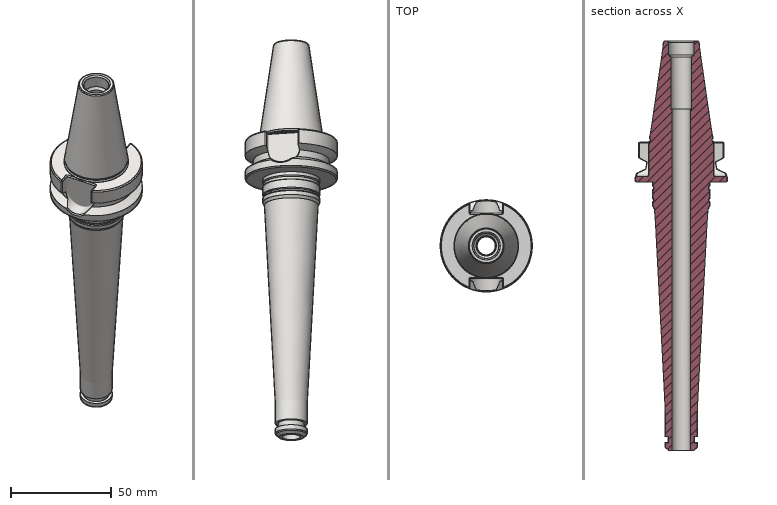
import cadquery as cq
import math

TAPER_TOP_Z = 48.4
FLANGE_TOP_Z = -2.0
FLANGE_BOTTOM_Z = -22.0
NOSE_END_Z = -156.0

GAUGE_DIAMETER = 31.75
TAPER_RATIO = 7 / 24
TAPER_RIM_CHAMFER = 0.5
NECK_DIAMETER = 30.8
NECK_TOP_Z = -0.8
NECK_BOTTOM_Z = -1.3
FOOT_DIAMETER = 32.2
FOOT_RIM_Z = -1.8

FLANGE_DIAMETER = 46.0
FLANGE_CHAMFER = 0.6
EDGE_TOLERANCE = 0.001
GROOVE_DIAMETER = 38.0
GROOVE_FLOOR_WIDTH = 3.5
GROOVE_CENTRE_Z = -13.75
GROOVE_FLANK_ANGLE = 30.0

SLOT_RADIUS = 8.05
SLOT_FLOOR_OFFSET = 16.3
SLOT_BOTTOM_Z = -19.1
SLOT_FILLET = 0.6

COLLAR_DIAMETER = 28.5
RING_GROOVE_DIAMETER = 27.7
UPPER_RING_TOP_Z = -23.7
UPPER_RING_BOTTOM_Z = -25.8
UPPER_RING_BEVEL = 0.6
LOWER_RING_TOP_Z = -30.1
LOWER_RING_BOTTOM_Z = -31.9
LOWER_RING_BEVEL = 0.5
COLLAR_CHAMFER_Z = -33.9
COLLAR_END_Z = -35.4

SHANK_LARGE_DIAMETER = 26.9
SHANK_END_Z = -139.0
NOSE_DIAMETER = 16.0
NOSE_GROOVE_DIAMETER = 13.0
NOSE_GROOVE_TOP_Z = -149.0
NOSE_GROOVE_BOTTOM_Z = -152.0
NOSE_SHOULDER_Z = -154.2
NOSE_BEVEL_DIAMETER = 15.2
NOSE_BEVEL_Z = -154.8
NOSE_END_DIAMETER = 12.2

BORE_DIAMETER = 9.0
TAP_DIAMETER = 10.11
TAP_DEPTH = 34.0
ENTRY_DIAMETER = 12.5
ENTRY_DEPTH = 6.9
ENTRY_MOUTH_DIAMETER = 14.0


def revolve_outline(outline):
    """Solid of revolution about Z from a closed (radius, z) outline."""
    return cq.Workplane("XZ").polyline(outline).close().revolve(360, (0, 0), (0, 1))


def revolve_profile(stations):
    """Solid of revolution about Z from (diameter, z) stations."""
    rim = [(diameter / 2, z) for diameter, z in stations]
    outline = [(0, rim[0][1])] + rim + [(0, rim[-1][1])]
    return revolve_outline(outline)


def make_taper():
    rim_z = TAPER_TOP_Z - TAPER_RIM_CHAMFER
    rim_diameter = GAUGE_DIAMETER - TAPER_RATIO * rim_z
    return revolve_profile([
        (rim_diameter - 2 * TAPER_RIM_CHAMFER, TAPER_TOP_Z),
        (rim_diameter, rim_z),
        (GAUGE_DIAMETER, 0),
        (NECK_DIAMETER, NECK_TOP_Z),
        (NECK_DIAMETER, NECK_BOTTOM_Z),
        (FOOT_DIAMETER, FOOT_RIM_Z),
        (FOOT_DIAMETER, FLANGE_TOP_Z),
    ])


def slot_cutter():
    """Round-ended drive slot on the -Y side, open through the top of the flange."""
    centre_z = SLOT_BOTTOM_Z + SLOT_RADIUS
    cutter = (
        cq.Workplane("XZ", origin=(0, -SLOT_FLOOR_OFFSET, 0))
        .moveTo(-SLOT_RADIUS, FLANGE_TOP_Z)
        .lineTo(-SLOT_RADIUS, centre_z)
        .threePointArc((0, SLOT_BOTTOM_Z), (SLOT_RADIUS, centre_z))
        .lineTo(SLOT_RADIUS, FLANGE_TOP_Z)
        .close()
        .extrude(FLANGE_DIAMETER / 2)
    )
    return cutter.faces(">Y").edges("not >Z").fillet(SLOT_FILLET)


def groove_cutter():
    """V groove around the flange."""
    radius = FLANGE_DIAMETER / 2
    floor_radius = GROOVE_DIAMETER / 2
    floor_half = GROOVE_FLOOR_WIDTH / 2
    mouth_half = floor_half + (radius - floor_radius) * math.tan(math.radians(GROOVE_FLANK_ANGLE))
    outline = [
        (floor_radius, GROOVE_CENTRE_Z + floor_half),
        (radius, GROOVE_CENTRE_Z + mouth_half),
        (radius, GROOVE_CENTRE_Z - mouth_half),
        (floor_radius, GROOVE_CENTRE_Z - floor_half),
    ]
    return revolve_outline(outline)


def is_flange_rim(edge):
    """True for edges that lie on, or run out to, the flange's outer cylinder."""
    ends = (edge.startPoint(), edge.endPoint())
    return any(math.hypot(end.x, end.y) > FLANGE_DIAMETER / 2 - EDGE_TOLERANCE for end in ends)


def make_flange():
    height = FLANGE_TOP_Z - FLANGE_BOTTOM_Z
    blank = cq.Workplane("XY", origin=(0, 0, FLANGE_BOTTOM_Z)).circle(FLANGE_DIAMETER / 2).extrude(height)
    cutter = slot_cutter()
    slotted = blank.cut(cutter).cut(cutter.rotate((0, 0, 0), (0, 0, 1), 180))
    chamfered = slotted.edges().filter(is_flange_rim).chamfer(FLANGE_CHAMFER)
    return chamfered.cut(groove_cutter())


def make_shank():
    return revolve_profile([
        (COLLAR_DIAMETER, FLANGE_BOTTOM_Z),
        (COLLAR_DIAMETER, UPPER_RING_TOP_Z),
        (RING_GROOVE_DIAMETER, UPPER_RING_TOP_Z - UPPER_RING_BEVEL),
        (RING_GROOVE_DIAMETER, UPPER_RING_BOTTOM_Z),
        (COLLAR_DIAMETER, UPPER_RING_BOTTOM_Z),
        (COLLAR_DIAMETER, LOWER_RING_TOP_Z),
        (RING_GROOVE_DIAMETER, LOWER_RING_TOP_Z - LOWER_RING_BEVEL),
        (RING_GROOVE_DIAMETER, LOWER_RING_BOTTOM_Z + LOWER_RING_BEVEL),
        (COLLAR_DIAMETER, LOWER_RING_BOTTOM_Z),
        (COLLAR_DIAMETER, COLLAR_CHAMFER_Z),
        (SHANK_LARGE_DIAMETER, COLLAR_END_Z),
        (NOSE_DIAMETER, SHANK_END_Z),
        (NOSE_DIAMETER, NOSE_GROOVE_TOP_Z),
        (NOSE_GROOVE_DIAMETER, NOSE_GROOVE_TOP_Z),
        (NOSE_GROOVE_DIAMETER, NOSE_GROOVE_BOTTOM_Z),
        (NOSE_DIAMETER, NOSE_GROOVE_BOTTOM_Z),
        (NOSE_DIAMETER, NOSE_SHOULDER_Z),
        (NOSE_BEVEL_DIAMETER, NOSE_BEVEL_Z),
        (NOSE_END_DIAMETER, NOSE_END_Z),
    ])


def make_bore():
    mouth_cone_depth = (ENTRY_MOUTH_DIAMETER - ENTRY_DIAMETER) / 2
    floor_cone_depth = (ENTRY_DIAMETER - TAP_DIAMETER) / 2
    entry_floor_z = TAPER_TOP_Z - ENTRY_DEPTH
    tap_floor_z = TAPER_TOP_Z - TAP_DEPTH
    return revolve_profile([
        (ENTRY_MOUTH_DIAMETER, TAPER_TOP_Z),
        (ENTRY_DIAMETER, TAPER_TOP_Z - mouth_cone_depth),
        (ENTRY_DIAMETER, entry_floor_z),
        (TAP_DIAMETER, entry_floor_z - floor_cone_depth),
        (TAP_DIAMETER, tap_floor_z),
        (BORE_DIAMETER, tap_floor_z),
        (BORE_DIAMETER, NOSE_END_Z),
    ])


result = make_taper().union(make_flange()).union(make_shank()).cut(make_bore())